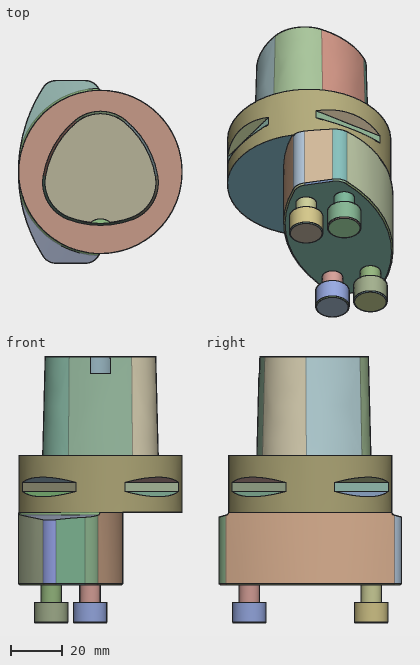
import math

import cadquery as cq

OVERALL_WIDTH = 63.17
OVERALL_LENGTH = 70.5
OVERALL_HEIGHT = 102.72

SHANK_LENGTH = 38.0
FLANGE_HEIGHT = 22.0
CLAMP_HEIGHT = 28.0
FLANGE_BOTTOM = -FLANGE_HEIGHT
CLAMP_BOTTOM = FLANGE_BOTTOM - CLAMP_HEIGHT

SHANK_MEAN_DIAMETER = 44.0
SHANK_ECCENTRICITY = 1.4
FLANK_RADIUS = 35.5
TAPER_RATIO = 1 / 20
TAPER_ANGLE = math.degrees(math.atan(TAPER_RATIO / 2))
FLANK_DIRECTIONS = (-90.0, 30.0, 150.0)
LOBE_OFFSET = 60.0

NOTCH_RADIUS = 5.9
NOTCH_BACK_Y = -18.1
NOTCH_DEPTH = 6.4

FLANGE_RADIUS = 63.0 / 2
SLOT_DIRECTIONS = (45.0, 135.0, 225.0, 315.0)
SLOT_CENTRE_Z = -12.2
SLOT_FLOOR_HEIGHT = 3.4
SLOT_DEPTH = 3.6
SLOT_SIDE_ANGLE = 30.0

CLAMP_CENTRE_X = -11.5
CLAMP_HALF_WIDTH = OVERALL_WIDTH - FLANGE_RADIUS + CLAMP_CENTRE_X
CLAMP_HALF_LENGTH = OVERALL_LENGTH / 2
CLAMP_SIDE_RADIUS = 60.0
CLAMP_CORNER_RADIUS = 6.0
CLAMP_CHAMFER = 0.6

SHOULDER_BLEND = 1.0
SHOULDER_ANGLE = 15.0
SHOULDER_OUTER_RADIUS = 50.0

SCREW_SPACING_X = 15.0
SCREW_SPACING_Y = 47.0
SCREW_SHANK_RADIUS = 8.0 / 2
SCREW_HEAD_RADIUS = 13.0 / 2
SCREW_HEAD_HEIGHT = 8.0
SCREW_HEAD_CHAMFER = 0.4
SCREW_BOTTOM = SHANK_LENGTH - OVERALL_HEIGHT


def polar(radius, degrees):
    angle = math.radians(degrees)
    return radius * math.cos(angle), radius * math.sin(angle)


def make_shank():
    flank_reach = SHANK_MEAN_DIAMETER / 2 - SHANK_ECCENTRICITY
    lobe_reach = SHANK_MEAN_DIAMETER / 2 + SHANK_ECCENTRICITY
    flank_offset = FLANK_RADIUS - flank_reach
    spare = FLANK_RADIUS - lobe_reach
    lobe_offset = (flank_offset**2 - spare**2) / (2 * spare - flank_offset)
    lobe_x, lobe_y = polar(lobe_offset, LOBE_OFFSET)
    normal = math.atan2(lobe_y, lobe_x + flank_offset)
    joint_x = FLANK_RADIUS * math.cos(normal) - flank_offset
    joint_y = FLANK_RADIUS * math.sin(normal)
    joint_radius = math.hypot(joint_x, joint_y)
    joint_angle = math.degrees(math.atan2(joint_y, joint_x))

    outline = cq.Workplane("XY").moveTo(*polar(joint_radius, FLANK_DIRECTIONS[0] - joint_angle))
    for direction in FLANK_DIRECTIONS:
        next_flank = direction + 2 * LOBE_OFFSET
        outline = outline.threePointArc(
            polar(flank_reach, direction), polar(joint_radius, direction + joint_angle)
        )
        outline = outline.threePointArc(
            polar(lobe_reach, direction + LOBE_OFFSET), polar(joint_radius, next_flank - joint_angle)
        )
    return outline.close().extrude(SHANK_LENGTH, taper=TAPER_ANGLE)


def make_notch():
    return (
        cq.Workplane("XY", origin=(0, NOTCH_BACK_Y - NOTCH_RADIUS, SHANK_LENGTH - NOTCH_DEPTH))
        .circle(NOTCH_RADIUS)
        .extrude(NOTCH_DEPTH)
    )


def make_flange():
    return cq.Workplane("XY", origin=(0, 0, FLANGE_BOTTOM)).circle(FLANGE_RADIUS).extrude(FLANGE_HEIGHT)


def make_gripper_slot(direction):
    """Straight slot with sloping sides, cut across the flange rim."""
    floor_x = FLANGE_RADIUS - SLOT_DEPTH
    mouth_x = FLANGE_RADIUS
    floor_half = SLOT_FLOOR_HEIGHT / 2
    mouth_half = floor_half + SLOT_DEPTH * math.tan(math.radians(SLOT_SIDE_ANGLE))
    return (
        cq.Workplane("XZ", origin=(0, 0, SLOT_CENTRE_Z))
        .polyline(
            [
                (floor_x, -floor_half),
                (mouth_x, -mouth_half),
                (mouth_x, mouth_half),
                (floor_x, floor_half),
            ]
        )
        .close()
        .extrude(FLANGE_RADIUS, both=True)
        .rotate((0, 0, 0), (0, 0, 1), direction)
    )


def make_clamp_block():
    side_centre = CLAMP_SIDE_RADIUS - CLAMP_HALF_WIDTH
    end_half_width = math.sqrt(CLAMP_SIDE_RADIUS**2 - CLAMP_HALF_LENGTH**2) - side_centre
    block = (
        cq.Workplane("XY", origin=(CLAMP_CENTRE_X, 0, CLAMP_BOTTOM))
        .moveTo(-end_half_width, -CLAMP_HALF_LENGTH)
        .lineTo(end_half_width, -CLAMP_HALF_LENGTH)
        .threePointArc((CLAMP_HALF_WIDTH, 0), (end_half_width, CLAMP_HALF_LENGTH))
        .lineTo(-end_half_width, CLAMP_HALF_LENGTH)
        .threePointArc((-CLAMP_HALF_WIDTH, 0), (-end_half_width, -CLAMP_HALF_LENGTH))
        .close()
        .extrude(CLAMP_HEIGHT)
        .edges("|Z")
        .fillet(CLAMP_CORNER_RADIUS)
        .faces("<Z")
        .edges()
        .chamfer(CLAMP_CHAMFER)
    )
    return block.intersect(make_shoulder_envelope())


def make_shoulder_envelope():
    """Body of revolution about the tool axis whose upper side shapes the top of the block."""
    blend_centre_x = FLANGE_RADIUS + SHOULDER_BLEND

    def blend_point(slope):
        angle = math.radians(slope)
        return (
            blend_centre_x - SHOULDER_BLEND * math.sin(angle),
            FLANGE_BOTTOM - SHOULDER_BLEND * math.cos(angle),
        )

    cone_start = blend_point(SHOULDER_ANGLE)
    blend_middle = blend_point((SHOULDER_ANGLE + 90) / 2)
    cone_drop = (SHOULDER_OUTER_RADIUS - cone_start[0]) * math.tan(math.radians(SHOULDER_ANGLE))
    return (
        cq.Workplane("XZ")
        .moveTo(0, CLAMP_BOTTOM)
        .lineTo(0, FLANGE_BOTTOM)
        .lineTo(FLANGE_RADIUS, FLANGE_BOTTOM)
        .threePointArc(blend_middle, cone_start)
        .lineTo(SHOULDER_OUTER_RADIUS, cone_start[1] - cone_drop)
        .lineTo(SHOULDER_OUTER_RADIUS, CLAMP_BOTTOM)
        .close()
        .revolve(360, (0, 0, 0), (0, 1, 0))
    )


def make_screws():
    centres = [
        (CLAMP_CENTRE_X + side_x * SCREW_SPACING_X / 2, side_y * SCREW_SPACING_Y / 2)
        for side_x in (-1, 1)
        for side_y in (-1, 1)
    ]
    base = cq.Workplane("XY", origin=(0, 0, SCREW_BOTTOM)).pushPoints(centres)
    heads = base.circle(SCREW_HEAD_RADIUS).extrude(SCREW_HEAD_HEIGHT)
    heads = heads.faces("<Z").edges().chamfer(SCREW_HEAD_CHAMFER)
    shanks = base.circle(SCREW_SHANK_RADIUS).extrude(CLAMP_BOTTOM - SCREW_BOTTOM)
    return heads.union(shanks)


flange = make_flange()
for slot_direction in SLOT_DIRECTIONS:
    flange = flange.cut(make_gripper_slot(slot_direction))

shank = make_shank().cut(make_notch())

result = flange.union(shank).union(make_clamp_block()).union(make_screws())